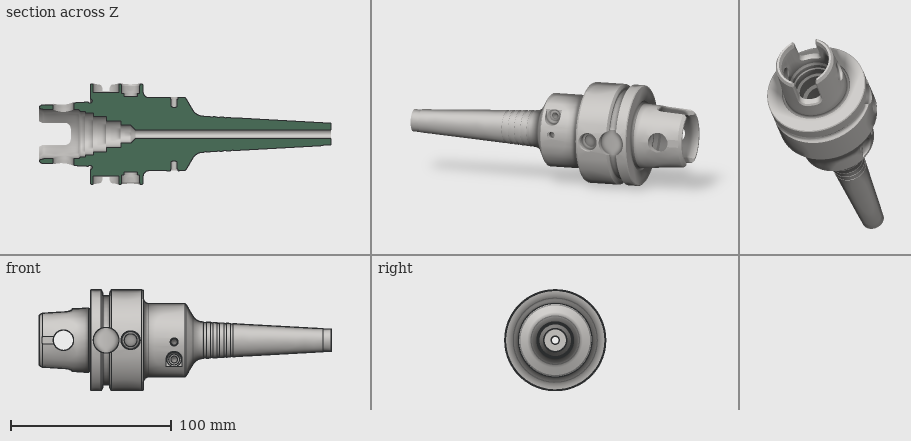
import cadquery as cq
import math

LENGTH = 182.0

TAPER_TIP_RADIUS = 17.3
TAPER_START_RADIUS = 18.5
TAPER_END_RADIUS = 20.2
TIP_CHAMFER_LENGTH = 2.0
TAPER_END_X = 30.5
UNDERCUT_DEPTH = 0.5
FACE_GROOVE_RADIUS = 1.1

FLANGE_RADIUS = 31.5
FLANGE_X = 31.8
FLANGE_FACE_CHAMFER = 0.5
GROOVE_X = 39.7
GROOVE_WIDTH = 4.2
GROOVE_RADIUS = 27.8
GROOVE_BEVEL_X = 1.1
GROOVE_BEVEL_R = 2.0
FLANGE_END_X = 65.0
FLANGE_END_CHAMFER_X = 1.1
FLANGE_END_CHAMFER_R = 0.5

BODY_RADIUS = 23.0
BODY_FILLET = 3.3
BODY_END_X = 91.7
BODY_CHAMFER = 1.0

SHOULDER_END_X = 95.7
SHOULDER_END_RADIUS = 15.1
NOSE_X = 102.0
NOSE_START_RADIUS = 11.5
NOSE_END_RADIUS = 7.3
TIP_LAND_DIAMETER = 14.0
TIP_LAND_LENGTH = 5.1
RING_COUNT = 5
RING_START_X = 102.5
RING_PITCH = 4.2
RING_WIDTH = 1.6
RING_DEPTH = 0.27

BORE_MOUTH_RADIUS = 16.0
BORE_MOUTH_DEPTH = 3.1
BORE_RADIUS = 15.1
BORE_CONE_X = 24.5
BORE_STEPS = [(25.8, 14.0), (28.8, 13.0), (33.7, 11.0), (41.9, 8.2), (51.0, 5.5)]
BORE_END_X = 60.0
COOLANT_DIAMETER = 5.0

SLOT_WIDTH = 13.8
SLOT_END_X = 19.8
SLOT_CORNER_RADIUS = 3.8
SLOT_CHAMFER = 1.0
SLOT_MOUTH_WIDTH = 16.0
SLOT_MOUTH_LENGTH = 2.2

CUT_START = FLANGE_RADIUS + 1.8
BALL_HOLE_X = 15.1
BALL_HOLE_DIAMETER = 12.5
FLAT_WIDTH = 4.7
FLAT_OFFSET = 18.4
NOTCH_X = 41.7
NOTCH_DIAMETER = 16.0
NOTCH_FLOOR = 26.2
SCREW_X = 57.0
SCREW_RIM_DIAMETER = 12.0
SCREW_DIAMETER = 11.0
SCREW_SOCKET_DIAMETER = 8.0
SCREW_RIM_FLOOR = 30.0
SCREW_FLOOR = 25.5
SCREW_SOCKET_FLOOR = 23.7

BODY_HOLE_X = 84.0
SMALL_HOLE_Z = -1.1
SMALL_HOLE_RIM_DIAMETER = 5.0
SMALL_HOLE_RIM_FLOOR = 21.8
SMALL_HOLE_DIAMETER = 4.0
SMALL_HOLE_FLOOR = 17.3
SEAT_Z = -12.0
SEAT_WIDTH = 10.0
SEAT_FLOOR = 16.2
SEAT_RIM_DIAMETER = 9.0
SEAT_RIM_DEPTH = 1.1
SEAT_BORE_DIAMETER = 6.7
SEAT_BORE_DEPTH = 1.6
SEAT_HOLE_DIAMETER = 4.2
SEAT_HOLE_DEPTH = 3.3
DRILL_TIP_RATIO = 0.3


def revolve_about_x(outline):
    """Revolve a closed XY outline about the X axis."""
    return outline.close().revolve(360, (0, 0, 0), (1, 0, 0))


def turned_body():
    """Outer shape of the whole holder, without its bore and cuts."""
    undercut_radius = TAPER_END_RADIUS - UNDERCUT_DEPTH
    face_groove_end = undercut_radius + 2 * FACE_GROOVE_RADIUS
    face_groove_bottom = (FLANGE_X + FACE_GROOVE_RADIUS, undercut_radius + FACE_GROOVE_RADIUS)
    groove_end_x = GROOVE_X + GROOVE_WIDTH
    bevel_radius = FLANGE_RADIUS - GROOVE_BEVEL_R
    fillet_end = (FLANGE_END_X + BODY_FILLET, BODY_RADIUS)
    arc_45 = math.sqrt(0.5)
    fillet_mid = (
        fillet_end[0] - BODY_FILLET * arc_45,
        BODY_RADIUS + BODY_FILLET * (1 - arc_45),
    )
    shoulder_start_radius = BODY_RADIUS - BODY_CHAMFER
    outline = (
        cq.Workplane("XY")
        .moveTo(0, 0)
        .lineTo(0, TAPER_TIP_RADIUS)
        .lineTo(TIP_CHAMFER_LENGTH, TAPER_START_RADIUS)
        .lineTo(TAPER_END_X, TAPER_END_RADIUS)
        .lineTo(TAPER_END_X + UNDERCUT_DEPTH, undercut_radius)
        .lineTo(FLANGE_X, undercut_radius)
        .threePointArc(face_groove_bottom, (FLANGE_X, face_groove_end))
        .lineTo(FLANGE_X, FLANGE_RADIUS - FLANGE_FACE_CHAMFER)
        .lineTo(FLANGE_X + FLANGE_FACE_CHAMFER, FLANGE_RADIUS)
        .lineTo(GROOVE_X - GROOVE_BEVEL_X, FLANGE_RADIUS)
        .lineTo(GROOVE_X, bevel_radius)
        .lineTo(GROOVE_X, GROOVE_RADIUS)
        .lineTo(groove_end_x, GROOVE_RADIUS)
        .lineTo(groove_end_x, bevel_radius)
        .lineTo(groove_end_x + GROOVE_BEVEL_X, FLANGE_RADIUS)
        .lineTo(FLANGE_END_X - FLANGE_END_CHAMFER_X, FLANGE_RADIUS)
        .lineTo(FLANGE_END_X, FLANGE_RADIUS - FLANGE_END_CHAMFER_R)
        .lineTo(FLANGE_END_X, BODY_RADIUS + BODY_FILLET)
        .threePointArc(fillet_mid, fillet_end)
        .lineTo(BODY_END_X - BODY_CHAMFER, BODY_RADIUS)
        .lineTo(BODY_END_X, shoulder_start_radius)
        .lineTo(SHOULDER_END_X, SHOULDER_END_RADIUS)
        .tangentArcPoint((NOSE_X, NOSE_START_RADIUS), relative=False)
        .lineTo(LENGTH - TIP_LAND_LENGTH, NOSE_END_RADIUS)
        .lineTo(LENGTH - TIP_LAND_LENGTH, TIP_LAND_DIAMETER / 2)
        .lineTo(LENGTH, TIP_LAND_DIAMETER / 2)
        .lineTo(LENGTH, 0)
    )
    return revolve_about_x(outline)


def nose_rings():
    """Shallow grooves that follow the slope of the nose."""
    slope = (NOSE_END_RADIUS - NOSE_START_RADIUS) / (LENGTH - TIP_LAND_LENGTH - NOSE_X)
    rings = cq.Workplane("XY")
    for index in range(RING_COUNT):
        start = RING_START_X + index * RING_PITCH
        end = start + RING_WIDTH
        floor_start = NOSE_START_RADIUS + slope * (start - NOSE_X) - RING_DEPTH
        floor_end = NOSE_START_RADIUS + slope * (end - NOSE_X) - RING_DEPTH
        outline = cq.Workplane("XY").polyline(
            [(start, floor_start), (end, floor_end), (end, BODY_RADIUS), (start, BODY_RADIUS)]
        )
        rings = rings.add(revolve_about_x(outline))
    return rings.combine()


def stepped_bore():
    """Bore that narrows in steps and ends in a 45 degree lead into the coolant hole."""
    points = [
        (0, 0),
        (0, BORE_MOUTH_RADIUS),
        (BORE_MOUTH_DEPTH, BORE_RADIUS),
        (BORE_CONE_X, BORE_RADIUS),
    ]
    coolant_radius = COOLANT_DIAMETER / 2
    lead_length = BORE_STEPS[-1][1] - coolant_radius
    step_ends = [x for x, _ in BORE_STEPS[1:]] + [BORE_END_X - lead_length]
    for (start, radius), end in zip(BORE_STEPS, step_ends, strict=True):
        points += [(start, radius), (end, radius)]
    points += [(BORE_END_X, coolant_radius), (LENGTH, coolant_radius), (LENGTH, 0)]
    return revolve_about_x(cq.Workplane("XY").polyline(points))


def drive_slots():
    """Round-cornered slot through both walls and the flare at its mouth, as two solids."""
    slot = (
        cq.Workplane("XY")
        .box(2 * SLOT_END_X, SLOT_WIDTH, 2 * FLANGE_RADIUS)
        .edges("|Z and >X")
        .fillet(SLOT_CORNER_RADIUS)
    )
    mouth = (
        cq.Workplane("XY")
        .workplane(offset=-FLANGE_RADIUS)
        .polyline(
            [
                (0, -SLOT_MOUTH_WIDTH / 2),
                (SLOT_MOUTH_LENGTH, -SLOT_WIDTH / 2),
                (SLOT_MOUTH_LENGTH, SLOT_WIDTH / 2),
                (0, SLOT_MOUTH_WIDTH / 2),
            ]
        )
        .close()
        .extrude(2 * FLANGE_RADIUS)
    )
    return slot, mouth


def cone_along_y(x, z, outer_y, outer_diameter, inner_y, inner_diameter):
    """Round plug along Y on the -Y side, from outer_y in to inner_y."""
    return cq.Workplane(
        cq.Solid.makeCone(
            outer_diameter / 2,
            inner_diameter / 2,
            outer_y - inner_y,
            cq.Vector(x, -outer_y, z),
            cq.Vector(0, 1, 0),
        )
    )


def side_hole(x, z, diameter, floor, top=CUT_START):
    """Flat-bottomed hole on the -Y side whose floor lies at y = -floor."""
    depth = top - floor
    return cq.Workplane("XZ", origin=(x, -floor, z)).circle(diameter / 2).extrude(depth)


def coupling_cuts():
    """Ball hole and the narrow flat that leads to it from the mouth."""
    ball_hole = side_hole(BALL_HOLE_X, 0, BALL_HOLE_DIAMETER, 0)
    flat = cq.Workplane("XY").box(BALL_HOLE_X, FLANGE_RADIUS, FLAT_WIDTH, centered=(False, False, True))
    return ball_hole.union(flat.translate((0, -FLAT_OFFSET - FLANGE_RADIUS, 0)))


def flange_cuts():
    """Round indexing notch across the groove and the screw hole beside it."""
    notch = side_hole(NOTCH_X, 0, NOTCH_DIAMETER, NOTCH_FLOOR)
    screw = side_hole(SCREW_X, 0, SCREW_DIAMETER, SCREW_FLOOR)
    rim = cone_along_y(SCREW_X, 0, FLANGE_RADIUS, SCREW_RIM_DIAMETER, SCREW_RIM_FLOOR, SCREW_DIAMETER)
    socket = side_hole(SCREW_X, 0, SCREW_SOCKET_DIAMETER, SCREW_SOCKET_FLOOR)
    return notch.union(screw).union(rim).union(socket)


def drilled_hole(x, z, diameter, floor, top):
    """Hole on the -Y side that ends in a conical drill tip."""
    tip_floor = floor - DRILL_TIP_RATIO * diameter
    return side_hole(x, z, diameter, floor, top).union(
        cone_along_y(x, z, floor, diameter, tip_floor, 0)
    )


def small_hole():
    """Counterbored hole just beside the middle of the body."""
    rim = side_hole(BODY_HOLE_X, SMALL_HOLE_Z, SMALL_HOLE_RIM_DIAMETER, SMALL_HOLE_RIM_FLOOR)
    hole = drilled_hole(
        BODY_HOLE_X, SMALL_HOLE_Z, SMALL_HOLE_DIAMETER, SMALL_HOLE_FLOOR, SMALL_HOLE_RIM_FLOOR
    )
    return rim.union(hole)


def screw_seat():
    """Flat-floored seat, open on one side, with a stepped and countersunk hole in its floor."""
    seat = side_hole(BODY_HOLE_X, SEAT_Z, SEAT_WIDTH, SEAT_FLOOR)
    run_out = (
        cq.Workplane("XY")
        .box(SEAT_WIDTH, BODY_RADIUS, BODY_RADIUS)
        .translate((BODY_HOLE_X, -SEAT_FLOOR - BODY_RADIUS / 2, SEAT_Z - BODY_RADIUS / 2))
    )
    rim_floor = SEAT_FLOOR - SEAT_RIM_DEPTH
    bore_floor = SEAT_FLOOR - SEAT_BORE_DEPTH
    hole_floor = SEAT_FLOOR - SEAT_HOLE_DEPTH
    rim = cone_along_y(BODY_HOLE_X, SEAT_Z, SEAT_FLOOR, SEAT_RIM_DIAMETER, rim_floor, SEAT_BORE_DIAMETER)
    bore = side_hole(BODY_HOLE_X, SEAT_Z, SEAT_BORE_DIAMETER, bore_floor, SEAT_FLOOR)
    hole = drilled_hole(BODY_HOLE_X, SEAT_Z, SEAT_HOLE_DIAMETER, hole_floor, SEAT_FLOOR)
    return seat.union(run_out).union(rim).union(bore).union(hole)


def is_slot_rim(edge):
    """True for edges where a drive slot meets the outer cone of the taper."""
    center = edge.Center()
    box = edge.BoundingBox()
    outer_radius = math.hypot(center.y, center.z)
    return (
        box.xmax < SLOT_END_X + SLOT_CHAMFER
        and box.xmin > TIP_CHAMFER_LENGTH / 2
        and abs(center.y) < SLOT_WIDTH / 2 + SLOT_CHAMFER
        and outer_radius > TAPER_START_RADIUS - SLOT_CHAMFER
    )


slot, slot_mouth = drive_slots()
part = turned_body().cut(nose_rings()).cut(slot)
slot_rims = [edge for edge in part.edges().vals() if is_slot_rim(edge)]
part = part.newObject(slot_rims).chamfer(SLOT_CHAMFER)
part = part.cut(slot_mouth).cut(stepped_bore())
side_cuts = coupling_cuts().union(flange_cuts()).union(small_hole()).union(screw_seat())
for angle in (0, 180):
    part = part.cut(side_cuts.rotate((0, 0, 0), (1, 0, 0), angle))

result = part